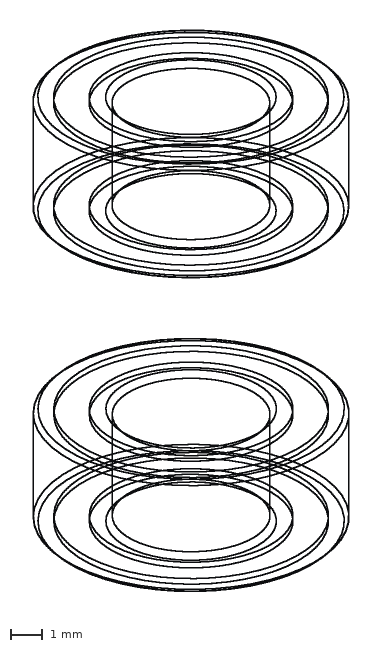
import cadquery as cq

outer_diameter = 10.0
bore_diameter = 5.0
width = 4.0

inner_ring_diameter = 6.45
outer_ring_opening = 8.7
shield_recess = 0.2

outer_chamfer = 0.15
bore_chamfer = 0.2


def chamfered_body():
    """Plain ring with chamfered rim and bore edges."""
    body = cq.Workplane("XY").cylinder(width, outer_diameter / 2)
    body = body.edges("%CIRCLE").chamfer(outer_chamfer)

    bore = cq.Workplane("XY").cylinder(width, bore_diameter / 2)
    body = body.cut(bore)
    bore_edges = cq.selectors.RadiusNthSelector(0)
    return body.edges(bore_edges).chamfer(bore_chamfer)


def shield_groove(start_height):
    """Annular recess between the two rings, one recess depth tall."""
    return (
        cq.Workplane("XY")
        .workplane(offset=start_height)
        .circle(outer_ring_opening / 2)
        .circle(inner_ring_diameter / 2)
        .extrude(shield_recess)
    )


result = chamfered_body()
for groove_start in (-width / 2, width / 2 - shield_recess):
    result = result.cut(shield_groove(groove_start))